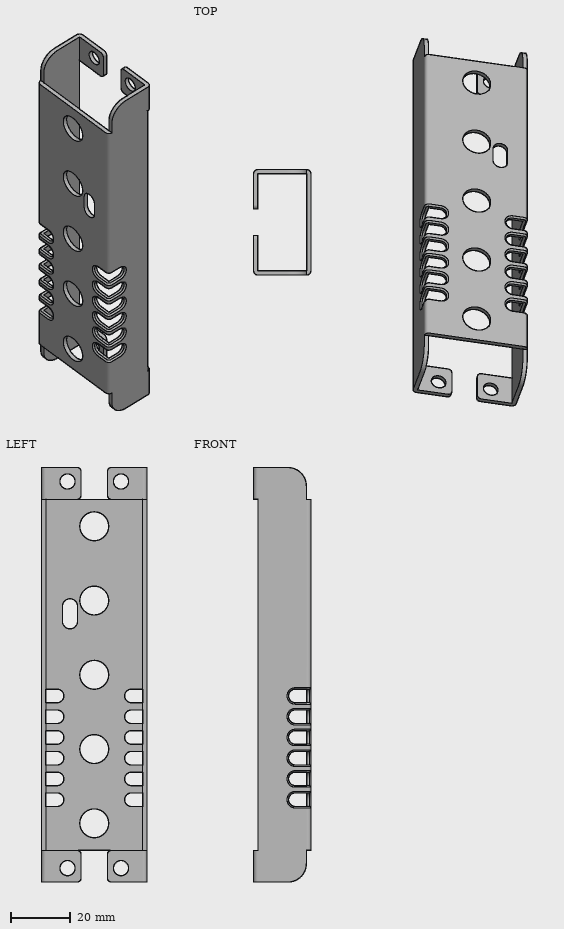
import cadquery as cq

depth = 19.4
width = 35.6
length = 139.7
wall = 1.5
bend_radius = wall

end_setback = 10.8
flange_corner_radius = 6.3

tab_width = 13.4
tab_corner_radius = 1.4
tab_hole_diameter = 5.0
tab_hole_from_end = 4.7
tab_hole_from_side = 8.8

web_hole_diameter = 9.6
web_hole_pitch = 25.0
web_hole_count = 5

upright_slot_width = 5.0
upright_slot_length = 10.0
upright_slot_from_side = 9.6
upright_slot_z = 20.5

vent_count = 6
vent_pitch = 7.0
vent_top_z = -7.1
vent_height = 4.5
vent_reach = 7.5
vent_chamfer = 0.5

web_x = depth / 2
tab_x = -depth / 2
side_y = width / 2
end_z = length / 2
selection_margin = 0.01


def box_between(x_range, y_range, z_range):
    """Axis-aligned box given by its lower and upper limit along each axis."""
    limits = (x_range, y_range, z_range)
    size = [high - low for low, high in limits]
    middle = [(high + low) / 2 for low, high in limits]
    return cq.Workplane("XY").box(*size).translate(tuple(middle))


def web_vent_cutter(start_y, end_y, z):
    """Round-ended cutter through the web, running along Y between two tips."""
    slot_length = end_y - start_y
    return (
        cq.Workplane("YZ", origin=(web_x - wall, (start_y + end_y) / 2, z))
        .slot2D(slot_length, vent_height)
        .extrude(wall)
    )


def make_folded_channel():
    """Full-length C section with rounded outer bends and sharp inner corners."""
    outside = cq.Workplane("XY").box(depth, width, length).edges("|Z").fillet(bend_radius)
    inside = cq.Workplane("XY").box(depth - 2 * wall, width - 2 * wall, length)
    tab_gap = box_between(
        (tab_x, tab_x + wall),
        (tab_width - side_y, side_y - tab_width),
        (-end_z, end_z),
    )
    return outside.cut(inside).cut(tab_gap)


def trim_ends(body):
    """Keep tabs only at the ends, shorten the web and round the flange corners."""
    web_end_z = end_z - end_setback
    between_tabs = box_between(
        (tab_x, tab_x + wall), (-side_y, side_y), (-web_end_z, web_end_z)
    )
    body = body.cut(between_tabs)
    for z_range in ((web_end_z, end_z), (-end_z, -web_end_z)):
        body = body.cut(box_between((web_x - wall, web_x), (-side_y, side_y), z_range))

    flange_outline = (
        box_between((tab_x, web_x - wall), (-side_y, side_y), (-end_z, end_z))
        .edges("|Y and >X")
        .fillet(flange_corner_radius)
    )
    web_space = box_between(
        (web_x - wall, web_x), (-side_y, side_y), (-web_end_z, web_end_z)
    )
    return body.intersect(flange_outline.union(web_space))


def round_tab_corners(body):
    """Round the free corners of the tabs."""
    tab_edge_y = side_y - tab_width
    corners = cq.selectors.BoxSelector(
        (tab_x - selection_margin, -tab_edge_y - selection_margin, -end_z - selection_margin),
        (tab_x + wall + selection_margin, tab_edge_y + selection_margin, end_z + selection_margin),
    )
    return body.edges("|X").edges(corners).fillet(tab_corner_radius)


def chamfer_vent_rim(body, face_y, z):
    """Chamfer the whole outer rim of one vent, which is a single tangent loop."""
    straight_length = vent_reach - vent_height / 2 - bend_radius
    straight_middle_x = web_x - bend_radius - straight_length / 2
    top_straight_edge = cq.selectors.NearestToPointSelector(
        (straight_middle_x, face_y, z + vent_height / 2)
    )
    return body.edges(top_straight_edge).chamfer(vent_chamfer)


def cut_vents(body):
    """Cut vents around both web bends and chamfer their outer rims."""
    vent_levels = [vent_top_z - index * vent_pitch for index in range(vent_count)]
    for side in (-1, 1):
        corner_y = side * side_y
        for z in vent_levels:
            tips = sorted((corner_y - side * vent_reach, corner_y + side * vent_reach))
            web_cut = web_vent_cutter(*tips, z)
            flange_cut = (
                cq.Workplane("XZ", origin=(web_x, corner_y - side * wall / 2, z))
                .slot2D(2 * vent_reach, vent_height)
                .extrude(wall / 2, both=True)
            )
            body = body.cut(web_cut).cut(flange_cut)
            body = chamfer_vent_rim(body, corner_y, z)
    return body


def cut_round_holes(body):
    """Cut the web holes and the hole in each tab."""
    web_cutters = (
        cq.Workplane("YZ", origin=(web_x - wall, 0, 0))
        .rarray(1.4, web_hole_pitch, 1, web_hole_count)
        .circle(web_hole_diameter / 2)
        .extrude(wall)
    )
    tab_cutters = (
        cq.Workplane("YZ", origin=(tab_x, 0, 0))
        .rarray(width - 2 * tab_hole_from_side, length - 2 * tab_hole_from_end, 2, 2)
        .circle(tab_hole_diameter / 2)
        .extrude(wall)
    )
    return body.cut(web_cutters).cut(tab_cutters)


def cut_upright_slot(body):
    """Cut the slot that stands beside the web holes on the +Y side."""
    cutter = (
        cq.Workplane("YZ", origin=(web_x - wall, side_y - upright_slot_from_side, upright_slot_z))
        .slot2D(upright_slot_length, upright_slot_width, 90)
        .extrude(wall)
    )
    return body.cut(cutter)


channel = make_folded_channel()
channel = trim_ends(channel)
channel = round_tab_corners(channel)
channel = cut_vents(channel)
channel = cut_round_holes(channel)
result = cut_upright_slot(channel)